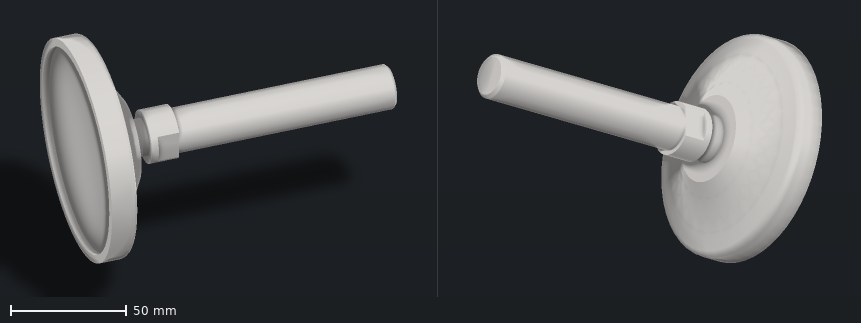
import cadquery as cq

total_length = 144

pad_radius = 100.0 / 2
rim_height = 9.4
pad_height = 23.6
pad_top_radius = 19.5
shoulder_end = (47.4, 12.4)
recess_diameter = 92.5
recess_depth = 3.0

ball_radius = 11.2
ball_center_height = 20.6
neck_radius = 17.0 / 2
neck_start = ball_center_height + (ball_radius**2 - neck_radius**2) ** 0.5
ball_exit_radius = (ball_radius**2 - (pad_height - ball_center_height) ** 2) ** 0.5
ball_mid_height = (pad_height + neck_start) / 2
ball_mid_radius = (ball_radius**2 - (ball_mid_height - ball_center_height) ** 2) ** 0.5

collar_radius = 24.0 / 2
collar_start = 30.8
collar_end = 43.9
flats_start = 34.0

stud_radius = 20.0 / 2
tip_chamfer = 1.5
flats_width = 2 * stud_radius


def make_body():
    """Pad, ball, neck, collar and stud turned from one half profile of (radius, height)."""
    return (
        cq.Workplane("XY")
        .lineTo(pad_radius, 0)
        .lineTo(pad_radius, rim_height)
        .tangentArcPoint(shoulder_end, relative=False)
        .tangentArcPoint((pad_top_radius, pad_height), relative=False)
        .lineTo(ball_exit_radius, pad_height)
        .threePointArc((ball_mid_radius, ball_mid_height), (neck_radius, neck_start))
        .lineTo(neck_radius, collar_start)
        .lineTo(collar_radius, collar_start)
        .lineTo(collar_radius, collar_end)
        .lineTo(stud_radius, collar_end)
        .lineTo(stud_radius, total_length - tip_chamfer)
        .lineTo(stud_radius - tip_chamfer, total_length)
        .lineTo(0, total_length)
        .close()
        .revolve(360, (0, 0, 0), (0, 1, 0))
    )


def make_recess():
    """Shallow round recess in the sole."""
    return cq.Workplane("XZ").circle(recess_diameter / 2).extrude(-recess_depth)


def make_flat_cutter(side):
    """Block that removes the collar outside one flat; side is -1 or +1 along X."""
    length = collar_end - flats_start
    block = cq.Workplane("XY").box(collar_radius, length, 2 * collar_radius)
    center_x = side * (flats_width + collar_radius) / 2
    return block.translate((center_x, flats_start + length / 2, 0))


result = make_body().cut(make_recess())
for side in (-1, 1):
    result = result.cut(make_flat_cutter(side))